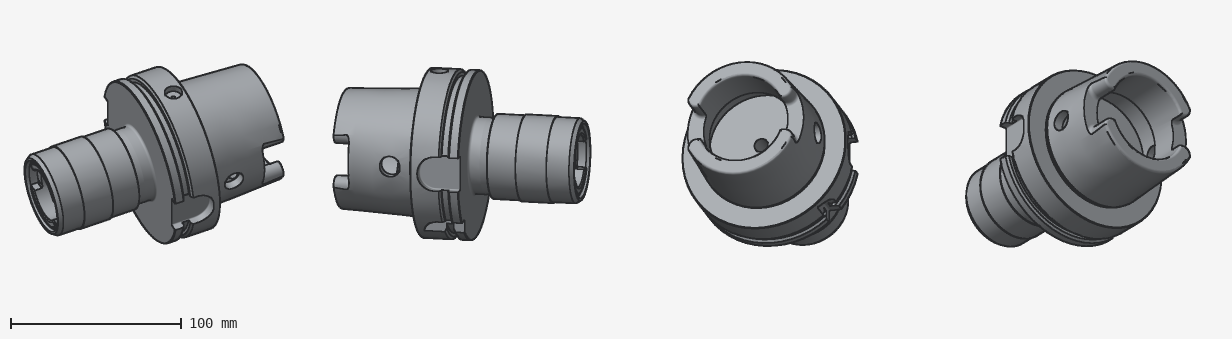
import cadquery as cq

rear_y = 50.0
taper_mouth_r = 37.9
taper_slope = 1 / 20
taper_start_y = 2.5
relief_r = 37.3
relief_y = 1.3
rear_rim_round = 1.5
shank_bore_r = 26.5
clamp_chamber_r = 31.5
clamp_chamber_rear_y = 22.8
clamp_chamber_floor_y = 5.7
cross_hole_r = 6.1
cross_hole_y = 14.8

keyway_half_width = 10.0
keyway_lip_r = 5.4
keyway_floor_r = 2.1
keyway_depth_left = 10.0
keyway_depth_right = 15.1

flange_r = 50.0
flange_width = 28.8
flange_edge_chamfer = 0.4
groove_floor_r = 46.1
groove_rear_y = -18.1
groove_front_y = -22.2
groove_rim_axial = 1.1
groove_rim_radial = 1.7

slot_floor_x = 43.9
slot_end_y = -4.3
slot_floor_fillet = 0.7
left_slot_half_width = 10.3
right_slot_half_width = 11.1
right_slot_corner_r = 10.0
notch_x = -31.3
notch_top_z = -31.3

carrier_y = -7.0
carrier_r = 5.1
carrier_depth = 4.5
carrier_pilot_r = 1.1
carrier_pilot_depth = 2.1

front_y = rear_y - 142.4
neck_r = 22.6
neck_fillet = 1.5
neck_cone_y = -35.9
neck_end_r = 22.2
nut_rear_y = -40.5
nut_band_rear_y = -57.8
nut_band_front_y = -76.3
nut_r = 25.0
nut_band_r = 25.6
nut_edge_chamfer = 0.4
nut_front_chamfer_radial = 1.7
nut_front_chamfer_axial = 2.5

nut_mouth_r = 21.2
nut_mouth_bevel_radial = 0.7
nut_mouth_bevel_axial = 2.1
recess_depth = 7.3
tube_r = 20.1
tube_setback = 1.0
tube_chamfer = 0.9
tube_slot_half_width = 8.4
nose_bore_r = 15.5
centre_hole_r = 4.1

flange_front_y = -flange_width
nose_bore_floor_y = flange_front_y
recess_floor_y = front_y + recess_depth
tube_front_y = front_y + tube_setback


def y_cylinder(radius, y_from, y_to):
    return cq.Workplane("XZ", origin=(0, y_from, 0)).circle(radius).extrude(y_from - y_to)


def x_box(x_from, x_to, y_from, y_to, z_from, z_to):
    size = (x_to - x_from, y_to - y_from, z_to - z_from)
    return cq.Workplane("XY").box(*size, centered=False).translate((x_from, y_from, z_from))


def turned_body():
    cone_end_r = taper_mouth_r - taper_slope * (rear_y - taper_start_y)
    rim_r = flange_r - groove_rim_radial
    profile = (
        cq.Workplane("XY")
        .moveTo(0, rear_y)
        .lineTo(cone_end_r, rear_y)
        .lineTo(taper_mouth_r, taper_start_y)
        .lineTo(relief_r, relief_y)
        .lineTo(relief_r, 0)
        .lineTo(flange_r - flange_edge_chamfer, 0)
        .lineTo(flange_r, -flange_edge_chamfer)
        .lineTo(flange_r, groove_rear_y + groove_rim_axial)
        .lineTo(rim_r, groove_rear_y)
        .lineTo(groove_floor_r, groove_rear_y)
        .lineTo(groove_floor_r, groove_front_y)
        .lineTo(rim_r, groove_front_y)
        .lineTo(flange_r, groove_front_y - groove_rim_axial)
        .lineTo(flange_r, flange_front_y + flange_edge_chamfer)
        .lineTo(flange_r - flange_edge_chamfer, flange_front_y)
        .lineTo(neck_r + neck_fillet, flange_front_y)
        .radiusArc((neck_r, flange_front_y - neck_fillet), -neck_fillet)
        .lineTo(neck_r, neck_cone_y)
        .lineTo(neck_end_r, nut_rear_y)
        .lineTo(nut_r - nut_edge_chamfer, nut_rear_y)
        .lineTo(nut_r, nut_rear_y - nut_edge_chamfer)
        .lineTo(nut_r, nut_band_rear_y)
        .lineTo(nut_band_r, nut_band_rear_y)
        .lineTo(nut_band_r, nut_band_front_y)
        .lineTo(nut_r, nut_band_front_y)
        .lineTo(nut_r, front_y + nut_front_chamfer_axial)
        .lineTo(nut_r - nut_front_chamfer_radial, front_y)
        .lineTo(0, front_y)
        .close()
    )
    return profile.revolve(360, (0, 0, 0), (0, 1, 0))


def front_opening():
    mouth = (
        cq.Workplane("XY")
        .moveTo(0, front_y)
        .lineTo(nut_mouth_r + nut_mouth_bevel_radial, front_y)
        .lineTo(nut_mouth_r, front_y + nut_mouth_bevel_axial)
        .lineTo(nut_mouth_r, recess_floor_y)
        .lineTo(0, recess_floor_y)
        .close()
        .revolve(360, (0, 0, 0), (0, 1, 0))
    )
    tube = y_cylinder(tube_r, tube_front_y, recess_floor_y)
    tube = tube.cut(y_cylinder(nose_bore_r, tube_front_y, recess_floor_y))
    slot = x_box(
        -tube_r, tube_r, tube_front_y, recess_floor_y, -tube_slot_half_width, tube_slot_half_width
    )
    slot = slot.edges("|X and >Y").chamfer(tube_chamfer)
    tube = tube.cut(slot).faces("<Y").chamfer(tube_chamfer)
    bore = y_cylinder(nose_bore_r, front_y, nose_bore_floor_y)
    return mouth.cut(tube).union(bore)


def keyway(depth):
    """Keyway through the -X wall of the shank, with convex flanks and a rounded floor."""
    half = keyway_half_width
    lip = keyway_lip_r
    lip_start_x = -shank_bore_r
    lip_end_x = lip_start_x - lip
    outer_x = -taper_mouth_r
    outline = (
        cq.Workplane("XZ", origin=(0, rear_y, 0))
        .moveTo(0, -half)
        .lineTo(lip_start_x, -half)
        .radiusArc((lip_end_x, -half - lip), -lip)
        .lineTo(lip_end_x, -2 * half)
        .lineTo(outer_x, -2 * half)
        .lineTo(outer_x, 2 * half)
        .lineTo(lip_end_x, 2 * half)
        .lineTo(lip_end_x, half + lip)
        .radiusArc((lip_start_x, half), -lip)
        .lineTo(0, half)
        .close()
    )
    return outline.extrude(depth).faces("<Y").edges().fillet(keyway_floor_r)


def flange_slot(floor_x, centre_z, half_width, corner_r):
    """Slot cut in from -X, open to the front, with a rounded rear end."""
    corner_z = half_width - corner_r
    corner_y = slot_end_y - corner_r
    outline = (
        cq.Workplane("YZ", origin=(-flange_r, 0, centre_z))
        .moveTo(flange_front_y, -half_width)
        .lineTo(corner_y, -half_width)
        .radiusArc((slot_end_y, -corner_z), -corner_r)
    )
    if corner_z > 0:
        outline = outline.lineTo(slot_end_y, corner_z)
    outline = outline.radiusArc((corner_y, half_width), -corner_r).lineTo(flange_front_y, half_width)
    slot = outline.close().extrude(flange_r + floor_x)
    return slot.faces(">X").edges("not <Y").fillet(slot_floor_fillet)


def top_hole(radius, depth):
    return (
        cq.Workplane("XY", origin=(0, carrier_y, flange_r))
        .circle(radius).extrude(-depth)
    )


def turned_about_y(shape):
    return shape.rotate((0, 0, 0), (0, 1, 0), 180)


result = turned_body()

result = result.cut(y_cylinder(shank_bore_r, clamp_chamber_floor_y, rear_y))
result = result.cut(y_cylinder(clamp_chamber_r, clamp_chamber_floor_y, clamp_chamber_rear_y))
result = result.cut(y_cylinder(centre_hole_r, front_y, rear_y))
result = result.cut(front_opening())
result = result.cut(
    cq.Workplane("YZ", origin=(-flange_r, cross_hole_y, 0)).circle(cross_hole_r).extrude(2 * flange_r)
)

result = result.cut(keyway(keyway_depth_left))
result = result.cut(turned_about_y(keyway(keyway_depth_right)))
result = result.faces(">Y").edges().fillet(rear_rim_round)

result = result.cut(flange_slot(-slot_floor_x, 0, left_slot_half_width, left_slot_half_width))
result = result.cut(
    turned_about_y(flange_slot(-slot_floor_x, 0, right_slot_half_width, right_slot_corner_r))
)
notch_centre_z = notch_top_z - left_slot_half_width
result = result.cut(flange_slot(notch_x, notch_centre_z, left_slot_half_width, left_slot_half_width))

result = result.cut(top_hole(carrier_r, carrier_depth))
result = result.cut(top_hole(carrier_pilot_r, carrier_depth + carrier_pilot_depth))